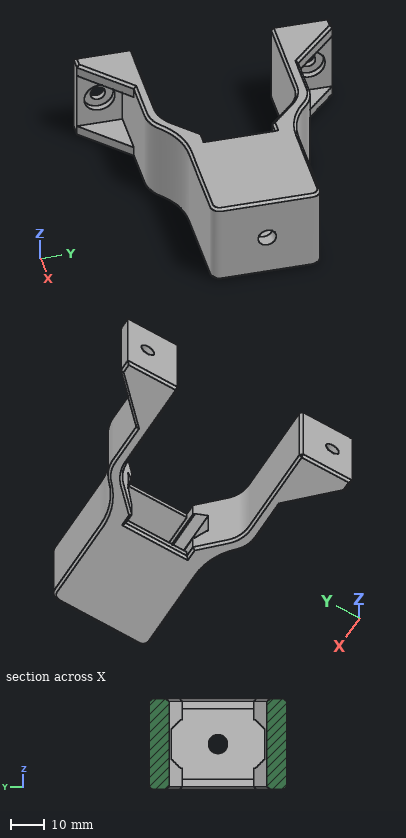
import cadquery as cq
import math

LENGTH = 81.2
WIDTH = 78.8
HEIGHT = 27.2
EDGE_CHAMFER = 0.8

ARM_OUTER_Y = 25.3
WALL = 4.1
ARM_INNER_Y = ARM_OUTER_Y - WALL
EAR_Y = WIDTH / 2
EAR_THICKNESS = 4.1
GUSSET_THICKNESS = 4.0
GUSSET_END_X = EAR_THICKNESS + EAR_Y - ARM_OUTER_Y
EAR_HOLE_Y = 32.4
EAR_HOLE_DIAMETER = 4.5
EAR_COUNTERBORE_DIAMETER = 9.4
EAR_COUNTERBORE_DEPTH = 2.0

BEND_START_X = 31.4
BEND_RADIUS = 10.0
BLEND_RADIUS = 19.7
INNER_BEND_CORNER_X = 33.9

BLOCK_Y = 16.9
BLOCK_CORNER_RADIUS = 2.9
BLOCK_FRONT_X = 47.9
POCKET_HALF_WIDTH = 10.7
POCKET_HALF_HEIGHT = 10.55
GROOVE_HALF_WIDTH = 14.05
GROOVE_HALF_HEIGHT = 4.4
GROOVE_SLOPE = 2.85
BACK_WALL = WALL
BACK_HOLE_DIAMETER = 5.5


def arc_point(center, radius, angle):
    """Point on a circle, with the angle in radians from +X."""
    return (center[0] + radius * math.cos(angle), center[1] + radius * math.sin(angle))


def half_body():
    """The Y > 0 half of the plan outline, extruded over the full height."""
    quarter = math.pi / 2

    drop = ARM_OUTER_Y - BLOCK_Y
    radius_sum = BEND_RADIUS + BLEND_RADIUS
    turn = math.acos(1 - drop / radius_sum)
    bend_center = (BEND_START_X, ARM_OUTER_Y - BEND_RADIUS)
    blend_end_x = BEND_START_X + radius_sum * math.sin(turn)
    blend_center = (blend_end_x, BLOCK_Y + BLEND_RADIUS)
    bend_middle = arc_point(bend_center, BEND_RADIUS, quarter - turn / 2)
    bend_end = arc_point(bend_center, BEND_RADIUS, quarter - turn)
    blend_middle = arc_point(blend_center, BLEND_RADIUS, -quarter - turn / 2)

    inner_turn = math.pi / 4
    inner_start_x = INNER_BEND_CORNER_X - BEND_RADIUS * math.tan(inner_turn / 2)
    inner_center = (inner_start_x, ARM_INNER_Y - BEND_RADIUS)
    inner_middle = arc_point(inner_center, BEND_RADIUS, quarter - inner_turn / 2)
    inner_end = arc_point(inner_center, BEND_RADIUS, quarter - inner_turn)
    mouth_x = INNER_BEND_CORNER_X + ARM_INNER_Y - POCKET_HALF_WIDTH

    return (
        cq.Workplane("XY", origin=(0, 0, -HEIGHT / 2))
        .moveTo(0, EAR_Y)
        .lineTo(EAR_THICKNESS, EAR_Y)
        .lineTo(GUSSET_END_X, ARM_OUTER_Y)
        .lineTo(BEND_START_X, ARM_OUTER_Y)
        .threePointArc(bend_middle, bend_end)
        .threePointArc(blend_middle, (blend_end_x, BLOCK_Y))
        .lineTo(LENGTH - BLOCK_CORNER_RADIUS, BLOCK_Y)
        .radiusArc((LENGTH, BLOCK_Y - BLOCK_CORNER_RADIUS), BLOCK_CORNER_RADIUS)
        .lineTo(LENGTH, 0)
        .lineTo(BLOCK_FRONT_X, 0)
        .lineTo(BLOCK_FRONT_X, POCKET_HALF_WIDTH)
        .lineTo(mouth_x, POCKET_HALF_WIDTH)
        .lineTo(*inner_end)
        .threePointArc(inner_middle, (inner_start_x, ARM_INNER_Y))
        .lineTo(0, ARM_INNER_Y)
        .close()
        .extrude(HEIGHT)
    )


def gusset_gap(side):
    """Space between the upper and lower gusset of the ear on one side (+1 or -1)."""
    center = ((EAR_THICKNESS + GUSSET_END_X) / 2, side * (EAR_Y + ARM_OUTER_Y) / 2, 0)
    return cq.Workplane("XY", origin=center).box(
        GUSSET_END_X - EAR_THICKNESS,
        EAR_Y - ARM_OUTER_Y,
        HEIGHT - 2 * GUSSET_THICKNESS,
    )


def pocket():
    """Cutter for the pocket with a wider groove at mid height, running along X up to the back wall."""
    start_x = BEND_START_X
    depth = LENGTH - BACK_WALL - start_x
    step_z = GROOVE_HALF_HEIGHT + GROOVE_SLOPE
    upper_right = [
        (GROOVE_HALF_WIDTH, GROOVE_HALF_HEIGHT),
        (GROOVE_HALF_WIDTH - GROOVE_SLOPE, step_z),
        (POCKET_HALF_WIDTH, step_z),
        (POCKET_HALF_WIDTH, POCKET_HALF_HEIGHT),
    ]
    upper = upper_right + [(-y, z) for y, z in reversed(upper_right)]
    lower = [(-y, -z) for y, z in upper]
    return (
        cq.Workplane("YZ", origin=(start_x, 0, 0))
        .polyline(upper + lower)
        .close()
        .extrude(depth)
    )


def hole_along_x(y, diameter, start_x, end_x):
    """Round cutter parallel to X at mid height."""
    return (
        cq.Workplane("YZ", origin=(start_x, y, 0))
        .circle(diameter / 2)
        .extrude(end_x - start_x)
    )


left_half = half_body()
body = left_half.union(left_half.mirror("XZ")).clean()

ear_inner_corners = cq.selectors.BoxSelector(
    (-EDGE_CHAMFER, -ARM_OUTER_Y, -HEIGHT),
    (EDGE_CHAMFER, ARM_OUTER_Y, HEIGHT),
)
ear_inner_edges = body.edges("|Z").edges(ear_inner_corners)
body = body.faces("<Z or >Z").edges().add(ear_inner_edges).chamfer(EDGE_CHAMFER)

body = body.cut(pocket())
body = body.cut(hole_along_x(0, BACK_HOLE_DIAMETER, BLOCK_FRONT_X, LENGTH))

counterbore_x = EAR_THICKNESS - EAR_COUNTERBORE_DEPTH
for side in (1, -1):
    hole_y = side * EAR_HOLE_Y
    body = body.cut(gusset_gap(side))
    body = body.cut(hole_along_x(hole_y, EAR_HOLE_DIAMETER, 0, EAR_THICKNESS))
    body = body.cut(hole_along_x(hole_y, EAR_COUNTERBORE_DIAMETER, counterbore_x, EAR_THICKNESS))

result = body